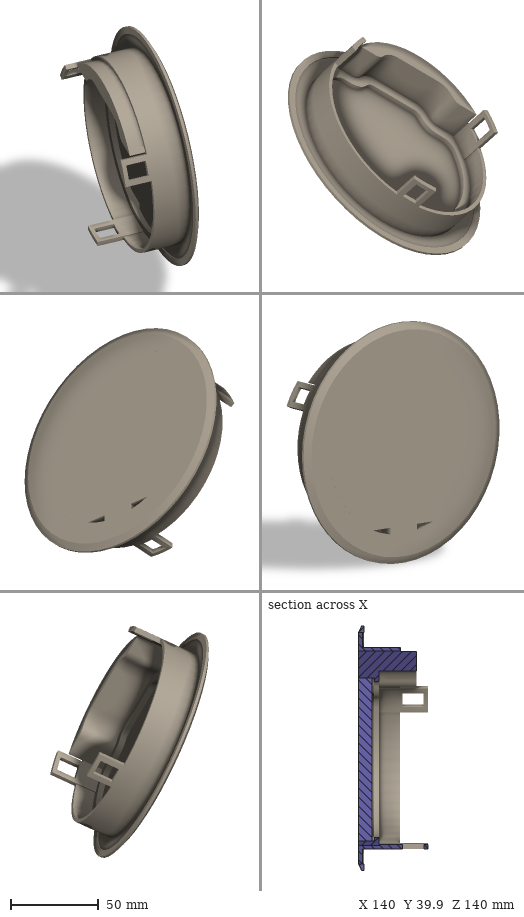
import cadquery as cq
import math


trim_radius = 70.0
trim_depth = 3.5
chamfer_depth = 2.0
chamfer_width = 4.2
flange_radius = trim_radius - chamfer_width

flange_recess = 1.0
flange_depth = trim_depth - flange_recess
sleeve_radius = 57.7
bore_radius = 55.5
sleeve_depth = 24.1

clip_angles = (30, 150, 270)
clip_width = 15.7
clip_inner_radius = 54.7
clip_depth = 39.9
window_width = 9.0
window_start = 25.5
window_end = 37.4

insert_depth = 12.0
lip_thickness = 3.0
seat_depth = insert_depth - lip_thickness
seat_overlap = 2.0
boss_depth = 33.5
boss_margin = 6.0

opening_radius = 50.8
shoulder_height = 29.0
step_height = 37.8
step_half_width = 14.5
step_top_radius = 7.0
step_foot_radius = 13.0
shoulder_fillet = 10.0

lid_gap = 1.0
lid_depth = seat_depth - lid_gap
lid_cut_height = -48.0
tongue_half_width = 9.5


def plane_at(depth):
    """Workplane at a depth, with local x along X and local y along Z; it extrudes toward -Y."""
    return cq.Workplane("XZ", origin=(0, -depth, 0))


def disc(radius, start, end):
    return plane_at(start).circle(radius).extrude(end - start)


def block(x_min, x_max, z_min, z_max, start, end):
    size_x = x_max - x_min
    size_z = z_max - z_min
    centre = ((x_min + x_max) / 2, (z_min + z_max) / 2)
    return plane_at(start).center(*centre).rect(size_x, size_z).extrude(end - start)


def below_step(margin, start, end):
    """Everything below the stepped line, with that line moved outward by the margin."""
    shoulder = shoulder_height + margin
    top = step_height + margin
    top_radius = step_top_radius + margin
    foot_radius = step_foot_radius - margin

    turn = math.acos(1 - (top - shoulder) / (top_radius + foot_radius))
    meet_x = step_half_width + top_radius * math.sin(turn)
    meet_z = top - top_radius * (1 - math.cos(turn))
    foot_x = meet_x + foot_radius * math.sin(turn)
    reach = trim_radius

    return (
        plane_at(start)
        .moveTo(-reach, -reach)
        .lineTo(-reach, shoulder)
        .lineTo(-foot_x, shoulder)
        .tangentArcPoint((-meet_x, meet_z), relative=False)
        .tangentArcPoint((-step_half_width, top), relative=False)
        .lineTo(step_half_width, top)
        .tangentArcPoint((meet_x, meet_z), relative=False)
        .tangentArcPoint((foot_x, shoulder), relative=False)
        .lineTo(reach, shoulder)
        .lineTo(reach, -reach)
        .close()
        .extrude(end - start)
    )


def opening_prism(margin, start, end):
    """Prism with the outline of the opening, moved outward by the margin."""
    prism = disc(opening_radius + margin, start, end).intersect(below_step(margin, start, end))
    corner_x = math.sqrt((opening_radius + margin) ** 2 - (shoulder_height + margin) ** 2)
    for x in (-corner_x, corner_x):
        corner = (x, -(start + end) / 2, shoulder_height + margin)
        prism = prism.edges(cq.selectors.NearestToPointSelector(corner)).fillet(shoulder_fillet + margin)
    return prism


def make_trim_ring():
    rim_profile = [
        (flange_radius, 0),
        (trim_radius, -chamfer_depth),
        (trim_radius, -trim_depth),
        (flange_radius, -trim_depth),
    ]
    return cq.Workplane("XY").polyline(rim_profile).close().revolve(360, (0, 0, 0), (0, 1, 0))


def clip_strip(angle, width, start, end):
    """Straight bar from the axis outward at an angle in the XZ plane."""
    strip = block(0, trim_radius, -width / 2, width / 2, start, end)
    return strip.rotate((0, 0, 0), (0, 1, 0), -angle)


def make_clip_gaps():
    """Ring past the end of the sleeve that is cleared away between the clips."""
    gaps = disc(trim_radius, sleeve_depth, clip_depth)
    for angle in clip_angles:
        gaps = gaps.cut(clip_strip(angle, clip_width, sleeve_depth, clip_depth))
    return gaps


def make_bore():
    """Bore for the insert; below the insert it leaves each clip slightly thicker than the sleeve."""
    core = disc(clip_inner_radius, 0, clip_depth)
    bore = disc(bore_radius, 0, clip_depth)
    for angle in clip_angles:
        bore = bore.cut(clip_strip(angle, clip_width, insert_depth, clip_depth))
    return bore.union(core)


def make_housing():
    housing = disc(flange_radius, 0, flange_depth)
    housing = housing.union(disc(sleeve_radius, 0, clip_depth))
    housing = housing.cut(make_bore()).cut(make_clip_gaps())
    for angle in clip_angles:
        housing = housing.cut(clip_strip(angle, window_width, window_start, window_end))
    return housing


def make_insert():
    boss = disc(bore_radius, insert_depth, boss_depth)
    boss = boss.cut(below_step(boss_margin, insert_depth, boss_depth))
    insert = disc(bore_radius, 0, insert_depth).union(boss)
    insert = insert.cut(opening_prism(seat_overlap, 0, seat_depth))
    return insert.cut(opening_prism(0, seat_depth, insert_depth))


def make_lid():
    """Lid that fills its seat down to the gap, cut straight at the bottom on both sides of a tongue."""
    lid = opening_prism(seat_overlap, 0, lid_depth)
    for x_min, x_max in ((-trim_radius, -tongue_half_width), (tongue_half_width, trim_radius)):
        lid = lid.cut(block(x_min, x_max, -trim_radius, lid_cut_height, 0, lid_depth))
    return lid


trim_ring = make_trim_ring()
housing = make_housing()
insert = make_insert()
lid = make_lid()

result = cq.Compound.makeCompound([trim_ring.val(), housing.val(), insert.val(), lid.val()])